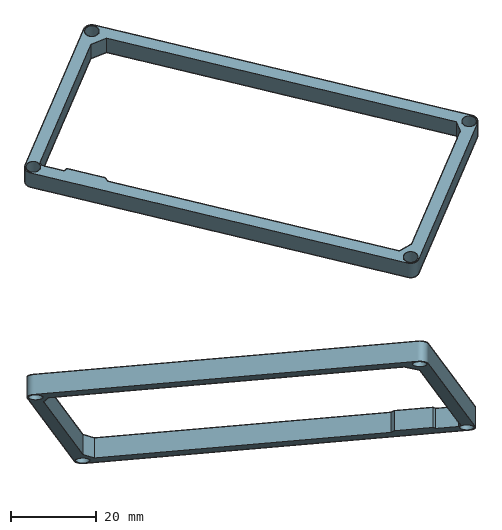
import cadquery as cq

length = 96.3
width = 48.6
height = 5.0
wall = 3.1

corner_radius = 2.0
hole_diameter = 3.4

back_left_cut = (2.9, 3.0)
back_right_cut = (1.7, 2.4)
front_right_cut = (2.0, 2.9)
front_left_cut = (0.7, 0.7)

pad_start = 9.2
pad_length = 10.7
pad_height = 0.9
pad_left_slope = 0.4
pad_right_slope = 1.0

left = wall - length / 2
right = -left
front = wall - width / 2
back = -front

pad_left = pad_start - length / 2
pad_right = pad_left + pad_length
pad_top = front + pad_height


def make_block():
    block = cq.Workplane("XY").box(length, width, height)
    return block.edges("|Z").fillet(corner_radius)


def make_opening():
    outline = [
        (left, front + front_left_cut[1]),
        (left + front_left_cut[0], front),
        (pad_left, front),
        (pad_left + pad_left_slope, pad_top),
        (pad_right - pad_right_slope, pad_top),
        (pad_right, front),
        (right - front_right_cut[0], front),
        (right, front + front_right_cut[1]),
        (right, back - back_right_cut[1]),
        (right - back_right_cut[0], back),
        (left + back_left_cut[0], back),
        (left, back - back_left_cut[1]),
    ]
    return cq.Workplane("XY").polyline(outline).close().extrude(height / 2, both=True)


def make_corner_holes():
    spacing_x = length - 2 * corner_radius
    spacing_y = width - 2 * corner_radius
    centres = cq.Workplane("XY").rect(spacing_x, spacing_y, forConstruction=True).vertices()
    return centres.circle(hole_diameter / 2).extrude(height / 2, both=True)


result = make_block().cut(make_opening()).cut(make_corner_holes())